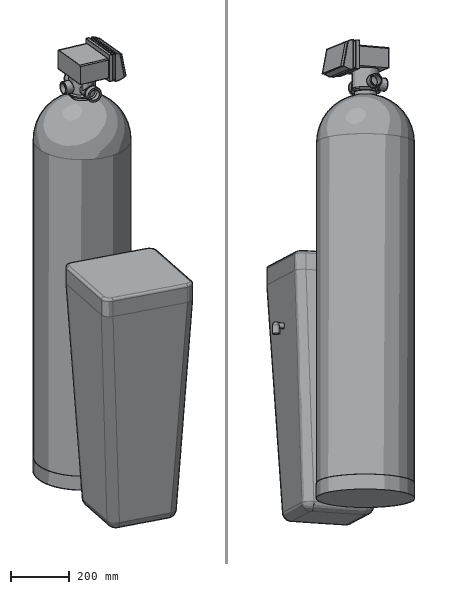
import cadquery as cq
import math

skirt_diameter = 336
skirt_height = 52
tank_diameter = 334
tank_radius = tank_diameter / 2
dome_base_z = 1232.5
neck_diameter = 76

valve_turn = 5
flange_diameter = 99.24
flange_bottom_z = 1408
flange_rim_height = 5
flange_shoulder_height = 6
valve_body_diameter = 92
port_axis_x = -5
port_axis_y = -7
port_z = 1438.5
port_end_chamfer = 3
port_diameter = 45
port_bore_diameter = 36
port_bore_depth = 30
left_port_end = -72
front_port_end = -73
right_port_end = 98
collar_diameter = 52
collar_length = 23
collar_bore_diameter = 38
side_tower_diameter = 38
side_tower_x = 54
side_tower_y = port_axis_y - 3

drive_box_width = 154
drive_box_front_y = -58
drive_box_bottom_z = 1485.5
drive_box_height = 71
drive_box_x = 12
drive_box_chamfer = 4
head_width = 162
head_x = 14
head_bottom_z = 1470
head_top_z = 1572.63
back_plate_front_y = 53
back_plate_thickness = 13
back_plate_bottom_z = 1474
groove_width = 10
groove_depth = 3
head_front_y = back_plate_front_y + back_plate_thickness + groove_width
head_rear_top_y = 95
head_rear_bottom_y = 112
head_chamfer_y = 91
head_rear_bottom_z = 1478
head_slope_y = 82
head_slope = 0.4
cover_thickness = 9
cover_side_inset = 5

brine_size = 340
brine_left_x = 211.57
brine_x = brine_left_x + brine_size / 2
brine_floor_size = 254
brine_corner_radius = 30
brine_floor_corner_radius = 32
brine_floor_fillet = 31
brine_height = 889.5
lid_height = 66.5
lid_edge_radius = 10
tub_height = brine_height - lid_height

elbow_pipe_diameter = 20
elbow_outlet_diameter = 25
elbow_y = 187.5
elbow_z = 656
elbow_outlet_bottom_z = 627


def upright_cylinder(diameter, bottom_z, top_z, x=0, y=0):
    return cq.Workplane("XY", origin=(x, y, bottom_z)).circle(diameter / 2).extrude(top_z - bottom_z)


def block(width, depth, height, x, front_y, bottom_z):
    """Box centred on x, reaching back from front_y and up from bottom_z."""
    centre = (x, front_y + depth / 2, bottom_z)
    return cq.Workplane("XY", origin=centre).rect(width, depth).extrude(height)


def tank_shell():
    dome_angle = math.radians(45)
    dome_middle = (tank_radius * math.cos(dome_angle), dome_base_z + tank_radius * math.sin(dome_angle))
    profile = (
        cq.Workplane("XZ")
        .lineTo(skirt_diameter / 2, 0)
        .lineTo(skirt_diameter / 2, skirt_height)
        .lineTo(tank_radius, skirt_height)
        .lineTo(tank_radius, dome_base_z)
        .threePointArc(dome_middle, (0, dome_base_z + tank_radius))
        .close()
    )
    return profile.revolve(360, (0, 0, 0), (0, 1, 0))


def horizontal_cylinder(diameter, start, direction, length):
    return cq.Workplane(cq.Solid.makeCylinder(diameter / 2, length, cq.Vector(*start), cq.Vector(*direction)))


def valve():
    right, left, front = (1, 0, 0), (-1, 0, 0), (0, -1, 0)
    centre = (0, port_axis_y, port_z)
    left_end = (left_port_end, port_axis_y, port_z)
    right_end = (right_port_end, port_axis_y, port_z)
    front_end = (port_axis_x, front_port_end, port_z)

    rim_top_z = flange_bottom_z + flange_rim_height
    body_bottom_z = rim_top_z + flange_shoulder_height
    shoulder = cq.Workplane(
        cq.Solid.makeCone(
            flange_diameter / 2, valve_body_diameter / 2, flange_shoulder_height, cq.Vector(0, 0, rim_top_z)
        )
    )
    body = upright_cylinder(flange_diameter, flange_bottom_z, rim_top_z).union(shoulder)
    body = body.union(upright_cylinder(valve_body_diameter, body_bottom_z, drive_box_bottom_z))
    body = body.union(
        upright_cylinder(side_tower_diameter, port_z, drive_box_bottom_z, side_tower_x, side_tower_y)
    )
    body = body.union(horizontal_cylinder(port_diameter, centre, left, -left_port_end))
    body = body.union(horizontal_cylinder(port_diameter, centre, right, right_port_end))
    front_port = horizontal_cylinder(port_diameter, (port_axis_x, 0, port_z), front, -front_port_end)
    body = body.union(front_port.faces("<Y").chamfer(port_end_chamfer))
    body = body.union(horizontal_cylinder(collar_diameter, right_end, left, collar_length))

    body = body.cut(horizontal_cylinder(port_bore_diameter, left_end, right, port_bore_depth))
    body = body.cut(horizontal_cylinder(collar_bore_diameter, right_end, left, port_bore_depth))
    return body.cut(horizontal_cylinder(port_bore_diameter, front_end, (0, 1, 0), port_bore_depth))


def side_profile_prism(points, width):
    """Extrude a (y, z) outline across the control head, centred on its width."""
    return cq.Workplane("YZ", origin=(head_x, 0, 0)).polyline(points).close().extrude(width / 2, both=True)


def sloped_top_z(y):
    return head_top_z - head_slope * (y - head_slope_y)


def control_head():
    drive_box = block(
        drive_box_width, back_plate_front_y - drive_box_front_y, drive_box_height,
        drive_box_x, drive_box_front_y, drive_box_bottom_z,
    )
    drive_box = drive_box.faces(">Z").edges("|Y").chamfer(drive_box_chamfer)
    back_plate = block(
        head_width, back_plate_thickness, head_top_z - back_plate_bottom_z,
        head_x, back_plate_front_y, back_plate_bottom_z,
    )
    groove_core = block(
        head_width - 2 * groove_depth, groove_width, head_top_z - back_plate_bottom_z - 2 * groove_depth,
        head_x, head_front_y - groove_width, back_plate_bottom_z + groove_depth,
    )
    housing = side_profile_prism(
        [
            (head_front_y, head_bottom_z),
            (head_chamfer_y, head_bottom_z),
            (head_rear_bottom_y, head_rear_bottom_z),
            (head_rear_top_y, sloped_top_z(head_rear_top_y)),
            (head_slope_y, head_top_z),
            (head_front_y, head_top_z),
        ],
        head_width,
    )
    cover_rear_y = head_rear_top_y + cover_thickness
    rear_cover = side_profile_prism(
        [
            (head_rear_bottom_y, head_rear_bottom_z),
            (head_rear_bottom_y + cover_thickness, head_rear_bottom_z),
            (cover_rear_y, sloped_top_z(cover_rear_y)),
            (head_rear_top_y, sloped_top_z(head_rear_top_y)),
        ],
        head_width - 2 * cover_side_inset,
    )
    return drive_box.union(back_plate).union(groove_core).union(housing).union(rear_cover)


def pressure_tank():
    neck = upright_cylinder(neck_diameter, dome_base_z, flange_bottom_z)
    head = valve().union(control_head()).rotate((0, 0, 0), (0, 0, 1), valve_turn)
    return tank_shell().union(neck).union(head)


def rounded_square(size, corner_radius, z):
    sketch = cq.Sketch().rect(size, size).vertices().fillet(corner_radius)
    return sketch.moved(cq.Location(cq.Vector(0, 0, z)))


def overflow_elbow():
    pipe = horizontal_cylinder(elbow_pipe_diameter, (0, 0, elbow_z), (0, 1, 0), elbow_y)
    outlet = upright_cylinder(elbow_outlet_diameter, elbow_outlet_bottom_z, elbow_z, 0, elbow_y)
    bend = cq.Workplane("XY", origin=(0, elbow_y, elbow_z)).sphere(elbow_outlet_diameter / 2)
    return pipe.union(outlet).union(bend)


def brine_tank():
    tub = (
        cq.Workplane("XY")
        .placeSketch(
            rounded_square(brine_floor_size, brine_floor_corner_radius, 0),
            rounded_square(brine_size, brine_corner_radius, tub_height),
        )
        .loft()
        .faces("<Z")
        .edges()
        .fillet(brine_floor_fillet)
    )
    lid = (
        cq.Workplane("XY")
        .placeSketch(rounded_square(brine_size, brine_corner_radius, tub_height))
        .extrude(lid_height)
        .faces(">Z")
        .edges()
        .fillet(lid_edge_radius)
    )
    return tub.union(lid).union(overflow_elbow()).translate((brine_x, 0, 0))


result = cq.Compound.makeCompound([pressure_tank().val(), brine_tank().val()])